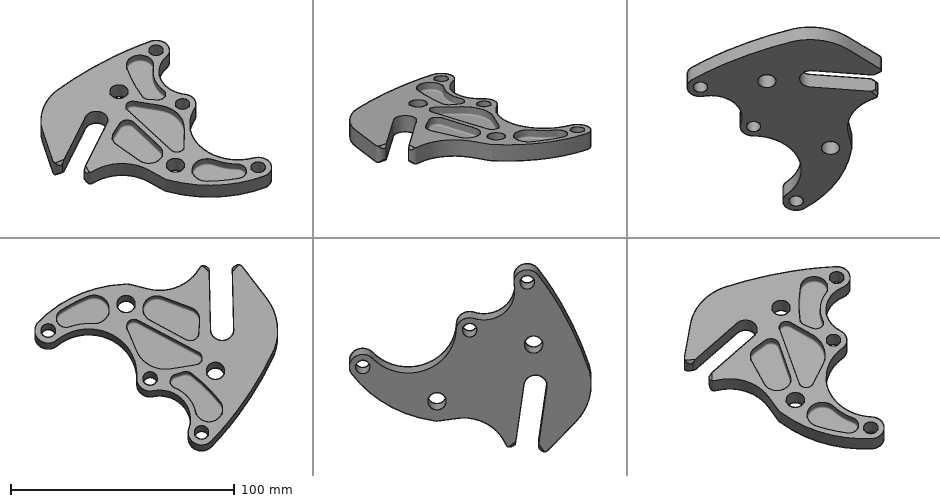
import cadquery as cq
import math

thickness = 8.0

lug_radius = 6.0
lug_hole_radius = 3.2
left_lug = (7.1, 75.2)
middle_lug = (40.8, 67.5)
right_lug = (97.3 - lug_radius, 75.2)

left_bay_radius = 13.8
right_bay_radius = 21.6

body_hole_radius = 4.1
body_holes = [(19.0, 47.7), (70.05, 44.8)]

slot_center = (27.8, 29.9)
slot_radius = 5.2
slot_angle = math.radians(-53.5)

pocket_depth = thickness / 2
floor_fillet = 0.8

bevel = 1.3
bevel_reach = 4.9


def point_at(center, radius, angle):
    return (center[0] + radius * math.cos(angle), center[1] + radius * math.sin(angle))


def toward(center, target, radius):
    """Point at the given radius from center, on the way to target."""
    angle = math.atan2(target[1] - center[1], target[0] - center[0])
    return point_at(center, radius, angle)


def bay_center(first_lug, second_lug, bay_radius):
    """Centre of the bay that touches two lugs from above."""
    dx = second_lug[0] - first_lug[0]
    dy = second_lug[1] - first_lug[1]
    spacing = math.hypot(dx, dy)
    rise = math.sqrt((bay_radius + lug_radius) ** 2 - (spacing / 2) ** 2)
    return (
        first_lug[0] + dx / 2 - rise * dy / spacing,
        first_lug[1] + dy / 2 + rise * dx / spacing,
    )


def slot_side_point(side, y):
    """Point at height y on a slot side: +1 is the upper right side, -1 the lower left."""
    edge = point_at(slot_center, side * slot_radius, slot_angle + math.pi / 2)
    return (edge[0] + (y - edge[1]) / math.tan(slot_angle), y)


def make_plate():
    left_bay = bay_center(left_lug, middle_lug, left_bay_radius)
    right_bay = bay_center(middle_lug, right_lug, right_bay_radius)
    slot_normal = slot_angle + math.pi / 2
    left_lug_start = point_at(left_lug, lug_radius, math.radians(172.6))

    return (
        cq.Workplane("XY")
        .moveTo(*left_lug_start)
        .threePointArc((left_lug[0], left_lug[1] + lug_radius), toward(left_lug, left_bay, lug_radius))
        .threePointArc(
            (left_bay[0], left_bay[1] - left_bay_radius), toward(middle_lug, left_bay, lug_radius)
        )
        .threePointArc(
            (middle_lug[0], middle_lug[1] + lug_radius), toward(middle_lug, right_bay, lug_radius)
        )
        .threePointArc(
            (right_bay[0], right_bay[1] - right_bay_radius), toward(right_lug, right_bay, lug_radius)
        )
        .threePointArc(
            (right_lug[0], right_lug[1] + lug_radius), (right_lug[0] + lug_radius, right_lug[1])
        )
        .threePointArc((89.1, 51.9), (76.1, 37.5))
        .threePointArc((75.0, 36.6), (73.7, 36.0))
        .lineTo(66.2, 33.2)
        .threePointArc((56.6, 25.9), (52.9, 14.3))
        .lineTo(53.0, 11.3)
        .threePointArc((52.4, 9.8), (50.4, 9.1))
        .lineTo(*slot_side_point(1, 9.1))
        .lineTo(*point_at(slot_center, slot_radius, slot_normal))
        .threePointArc(
            point_at(slot_center, -slot_radius, slot_angle),
            point_at(slot_center, -slot_radius, slot_normal),
        )
        .lineTo(*slot_side_point(-1, 3.4))
        .threePointArc((40.4, 0.8), (37.8, 0.1))
        .lineTo(19.9, 6.2)
        .threePointArc((8.7, 14.0), (3.3, 24.3))
        .threePointArc((0.9, 40.5), (0, 56.6))
        .tangentArcPoint(left_lug_start, relative=False)
        .close()
        .extrude(thickness)
    )


def drill(plate, centers, radius):
    holes = cq.Workplane("XY").pushPoints(centers).circle(radius).extrude(thickness)
    return plate.cut(holes)


def wall_directions(corner, next_corner, wall_radius):
    """Directions from two corner centres to where a clockwise wall touches the corner rounds.

    The wall is straight for None, an outward bulge for a positive radius, and a hollow
    around a centre outside the pocket for a negative one.
    """
    (x1, y1, r1), (x2, y2, r2) = corner, next_corner
    spacing = math.hypot(x2 - x1, y2 - y1)
    heading = math.atan2(y2 - y1, x2 - x1)
    if wall_radius is None:
        direction = heading + math.acos((r1 - r2) / spacing)
        return direction, direction
    side1 = abs(wall_radius - r1)
    side2 = abs(wall_radius - r2)
    cosine = (side1**2 + spacing**2 - side2**2) / (2 * side1 * spacing)
    bulges = wall_radius > 0
    turn = -math.acos(cosine) if bulges else math.acos(cosine)
    wall_x, wall_y = point_at((x1, y1), side1, heading + turn)
    flip = math.pi if bulges else 0
    return (
        math.atan2(wall_y - y1, wall_x - x1) + flip,
        math.atan2(wall_y - y2, wall_x - x2) + flip,
    )


def make_pocket(corners, wall_radii):
    """Pocket cutter from clockwise corner rounds (x, y, radius) and the walls that follow each."""
    count = len(corners)
    walls = [
        wall_directions(corners[i], corners[(i + 1) % count], wall_radii[i]) for i in range(count)
    ]
    outline = cq.Workplane("XY", origin=(0, 0, thickness - pocket_depth))
    for i, (x, y, radius) in enumerate(corners):
        arrival = walls[i - 1][1]
        departure = walls[i][0]
        sweep = (arrival - departure) % (2 * math.pi)
        corner_start = point_at((x, y), radius, arrival)
        corner_middle = point_at((x, y), radius, arrival - sweep / 2)
        corner_end = point_at((x, y), radius, departure)
        if i == 0:
            outline = outline.moveTo(*corner_start)
        outline = outline.threePointArc(corner_middle, corner_end)

        next_x, next_y, next_radius = corners[(i + 1) % count]
        wall_end = point_at((next_x, next_y), next_radius, walls[i][1])
        if wall_radii[i] is None:
            outline = outline.lineTo(*wall_end)
        else:
            outline = outline.tangentArcPoint(wall_end, relative=False)
    return outline.close().extrude(pocket_depth).faces("<Z").edges().fillet(floor_fillet)


def make_bevel(edge_point, outward_degrees):
    """Two wedges that bevel the top and bottom edges of a tip facing outward."""
    upper = (
        cq.Workplane("XZ")
        .polyline([(0, thickness), (bevel_reach, thickness), (bevel_reach, thickness - bevel_reach)])
        .close()
        .extrude(bevel_reach, both=True)
    )
    lower = upper.mirror("XY", (0, 0, thickness / 2))
    wedges = upper.union(lower)
    return wedges.rotate((0, 0, 0), (0, 0, 1), outward_degrees).translate(edge_point)


left_pocket = make_pocket(
    [(10.8, 64.2, 6.1), (29.9, 61.5, 3.4), (27.2, 58.9, 4.0)],
    [-16.3, None, 75.9],
)

middle_pocket = make_pocket(
    [(30.0, 48.1, 3.2), (45.7, 48.5, 14.0), (61.0, 51.4, 3.3)],
    [None, None, None],
)

lower_pocket = make_pocket(
    [(38.6, 39.4, 3.8), (57.4, 38.7, 6.2), (43.8, 35.2, 6.0)],
    [None, None, None],
)

right_pocket = make_pocket(
    [(88.0, 65.8, 4.4), (80.3, 55.2, 6.8)],
    [68.1, -24.3],
)

plate = make_plate()
plate = drill(plate, [left_lug, middle_lug, right_lug], lug_hole_radius)
plate = drill(plate, body_holes, body_hole_radius)

for pocket in (left_pocket, middle_pocket, lower_pocket, right_pocket):
    plate = plate.cut(pocket)

upper_tip_bevel = make_bevel((50.6, 9.1 + bevel), -99)
lower_tip_bevel = make_bevel((41.1 - bevel, 2.5), -5)
result = plate.cut(upper_tip_bevel).cut(lower_tip_bevel)